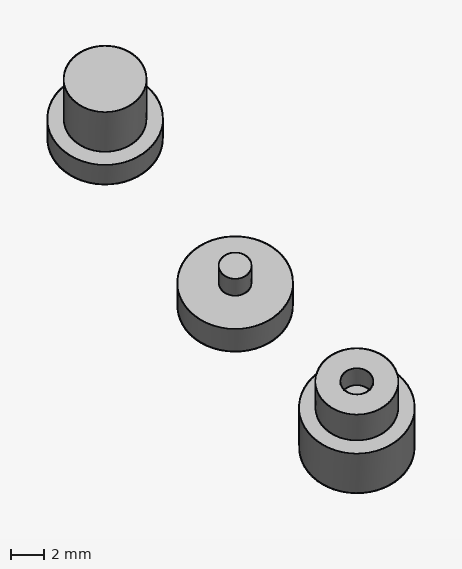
import cadquery as cq

flange_diameter = 7.0
stem_diameter = 5.0
pin_diameter = 2.0

plug_flange_height = 2.0
plug_height = 6.0
pin_disc_height = 2.3
pin_piece_height = 4.0
socket_flange_height = 4.0
socket_height = 6.62

pin_length = pin_piece_height - pin_disc_height
socket_hole_depth = pin_length

overall_length = 34.85
plug_center = (-(overall_length - flange_diameter) / 2, 0.55)
pin_piece_center = (0.95, 0.0)
socket_center = ((overall_length - flange_diameter) / 2, 0.1)


def stepped_cylinder(center, lower_diameter, lower_height, upper_diameter, total_height):
    """Upright cylinder with a narrower cylinder standing on its top face."""
    lower = cq.Workplane("XY").center(*center).circle(lower_diameter / 2).extrude(lower_height)
    upper = cq.Workplane("XY").center(*center).circle(upper_diameter / 2).extrude(total_height)
    return lower.union(upper)


def make_plug():
    """Flanged plug with a solid stem."""
    return stepped_cylinder(plug_center, flange_diameter, plug_flange_height, stem_diameter, plug_height)


def make_pin_piece():
    """Disc with a central pin."""
    return stepped_cylinder(
        pin_piece_center, flange_diameter, pin_disc_height, pin_diameter, pin_piece_height
    )


def make_socket():
    """Tall flanged piece with a blind pin hole in the top of its stem."""
    body = stepped_cylinder(
        socket_center, flange_diameter, socket_flange_height, stem_diameter, socket_height
    )
    return body.faces(">Z").workplane(origin=(*socket_center, 0)).hole(pin_diameter, socket_hole_depth)


plug = make_plug()
pin_piece = make_pin_piece()
socket = make_socket()

result = cq.Compound.makeCompound([plug.val(), pin_piece.val(), socket.val()])